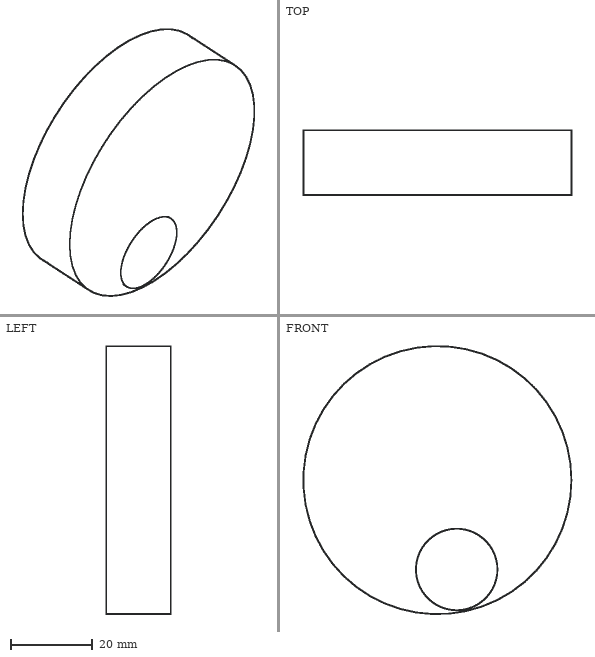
import cadquery as cq

disc_diameter = 66.0
disc_thickness = 16.0

hole_diameter = 20.0
hole_x = 4.75
hole_z = -22.0

disc = cq.Workplane("XZ").circle(disc_diameter / 2).extrude(disc_thickness)

hole = (
    cq.Workplane("XZ")
    .center(hole_x, hole_z)
    .circle(hole_diameter / 2)
    .extrude(disc_thickness)
)

result = disc.cut(hole)